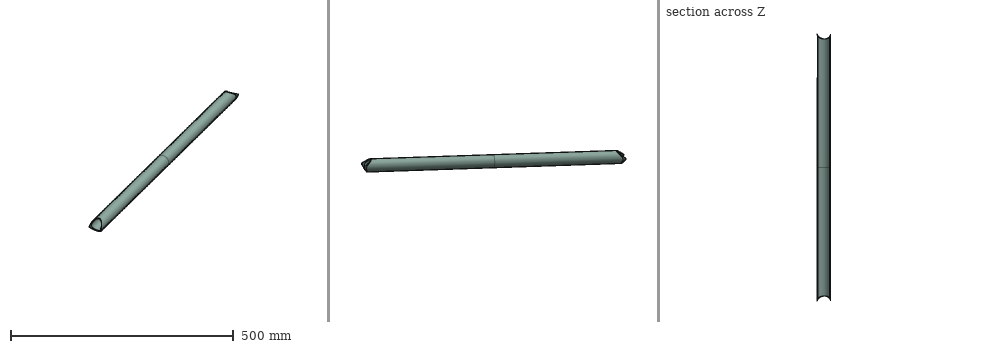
import cadquery as cq

length = 599.0
outer_diameter = 30.0
wall = 2.0

cope_diameter = 30.0
cope_axis_offset = 0.5
cope_pitch = 17.0
cope_roll = 6.0
cope_height = 4 * outer_diameter


def make_tube():
    """Straight round tube with square ends."""
    return (
        cq.Workplane("XZ")
        .circle(outer_diameter / 2)
        .circle(outer_diameter / 2 - wall)
        .extrude(length / 2, both=True)
    )


def make_cope_cutter(end):
    """Leaning cylinder that copes one end: -1 for the -Y end, +1 for the +Y end."""
    return (
        cq.Workplane("XY")
        .circle(cope_diameter / 2)
        .extrude(cope_height / 2, both=True)
        .rotate((0, 0, 0), (0, 1, 0), -cope_roll)
        .rotate((0, 0, 0), (1, 0, 0), end * cope_pitch)
        .translate((0, end * (length / 2 + cope_axis_offset), 0))
    )


result = make_tube()
for end in (-1, 1):
    result = result.cut(make_cope_cutter(end))